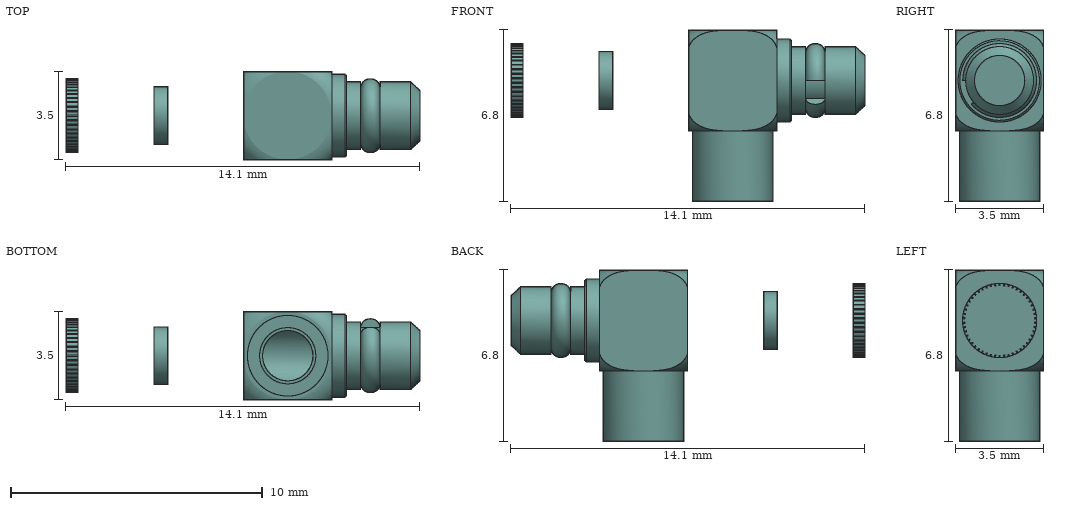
import cadquery as cq
import math


total_length = 14.05
total_height = 6.8
block_width = 3.5
block_height = 4.0
half_width = block_width / 2
half_height = block_height / 2
stem_bottom = half_height - total_height
rim_curve_radius = 0.87
rim_curve_width = 0.73
rim_curve_drop = 0.75

plug_reach = 5.25
collar_diameter = 3.3
collar_length = 0.59
collar_chamfer = 0.07
plug_diameter = 2.7
plug_tip_diameter = 2.0
plug_tip_length = 0.38
plug_tip_drop = (plug_diameter - plug_tip_diameter) / 2

groove_start = 2.9
groove_width = 0.77
groove_diameter = 2.23
ring_diameter = 2.94
ring_round = 0.37
ring_gap_angle = 40.0

cap_seat_diameter = 2.75
cap_seat_depth = 0.55
mouth_chamfer = 0.1
bore_diameter = 2.4
bore_cone_length = 0.18

wire_bore_diameter = 2.0
cable_bore_diameter = 2.23
cable_stop_drop = 0.1
stem_diameter = 3.2

cap_diameter = 2.94
cap_thickness = 0.48
knurl_count = 50
knurl_root_diameter = 2.8
knurl_groove_width = 0.04
disc_diameter = 2.3
disc_thickness = 0.55
disc_start = -5.31


def revolve_about_x(points):
    """Solid of revolution about the X axis from a closed (x, radius) outline."""
    return cq.Workplane("XY").polyline(points).close().revolve(360, (0, 0, 0), (1, 0, 0))


def cylinder_along_x(diameter, start, length):
    return cq.Workplane("YZ").workplane(offset=start).circle(diameter / 2).extrude(length)


def make_block():
    """Box whose corners are cut by an upright drum with rounded rims that start at the box sides."""
    box = cq.Workplane("XY").box(block_width, block_width, block_height)
    drum_radius = half_width + rim_curve_width
    shoulder = half_height - rim_curve_drop
    drum = (
        cq.Workplane("XZ")
        .moveTo(0, half_height)
        .lineTo(half_width, half_height)
        .radiusArc((drum_radius, shoulder), rim_curve_radius)
        .lineTo(drum_radius, -shoulder)
        .radiusArc((half_width, -half_height), rim_curve_radius)
        .lineTo(0, -half_height)
        .close()
        .revolve(360, (0, 0, 0), (0, 1, 0))
    )
    return box.intersect(drum)


def make_plug_end():
    """Collar and spigot with a chamfered tip and a groove for the snap ring."""
    collar_end = half_width + collar_length
    collar_radius = collar_diameter / 2
    plug_radius = plug_diameter / 2
    plug_end = revolve_about_x([
        (0, 0),
        (0, collar_radius),
        (collar_end - collar_chamfer, collar_radius),
        (collar_end, collar_radius - collar_chamfer),
        (collar_end, plug_radius),
        (plug_reach - plug_tip_length, plug_radius),
        (plug_reach, plug_radius - plug_tip_drop),
        (plug_reach, 0),
    ])
    groove = (
        cylinder_along_x(collar_diameter, groove_start, groove_width)
        .cut(cylinder_along_x(groove_diameter, groove_start, groove_width))
    )
    return plug_end.cut(groove)


def make_opening():
    """Chamfer, cap seat and cone from the -X face, then a bore to the far side of the wire bore."""
    face = -half_width
    seat_radius = cap_seat_diameter / 2
    seat_end = face + cap_seat_depth
    bore_radius = bore_diameter / 2
    bore_end = wire_bore_diameter / 2
    return revolve_about_x([
        (face, 0),
        (face, seat_radius + mouth_chamfer),
        (face + mouth_chamfer, seat_radius),
        (seat_end, seat_radius),
        (seat_end + bore_cone_length, bore_radius),
        (bore_end, bore_radius),
        (bore_end, 0),
    ])


def cylinder_along_z(diameter, bottom, top):
    return cq.Workplane("XY").workplane(offset=bottom).circle(diameter / 2).extrude(top - bottom)


def make_cable_entry():
    """Narrow bore from the plug axis down to the cable stop, wider bore from there to the stem end."""
    cable_stop = -half_height - cable_stop_drop
    wire_bore = cylinder_along_z(wire_bore_diameter, cable_stop, 0)
    return wire_bore.union(cylinder_along_z(cable_bore_diameter, stem_bottom, cable_stop))


def make_housing():
    """Block, plug end and cable stem in one piece, with the two crossing bores."""
    return (
        make_block()
        .union(make_plug_end())
        .union(cylinder_along_z(stem_diameter, stem_bottom, 0))
        .cut(make_opening())
        .cut(make_cable_entry())
    )


def make_snap_ring():
    """Split ring with rounded outer edges; the gap opens downward from the -Y side."""
    ring = (
        cylinder_along_x(ring_diameter, groove_start, groove_width)
        .edges().fillet(ring_round)
        .cut(cylinder_along_x(groove_diameter, groove_start, groove_width))
    )
    reach = ring_diameter
    gap_angle = math.radians(ring_gap_angle)
    gap = (
        cq.Workplane("YZ").workplane(offset=groove_start)
        .moveTo(0, 0)
        .lineTo(-reach, 0)
        .lineTo(-reach * math.cos(gap_angle), -reach * math.sin(gap_angle))
        .close()
        .extrude(groove_width)
    )
    return ring.cut(gap)


def make_cap():
    """Round cap with small grooves, cut down to a round core, all around its rim."""
    start = plug_reach - total_length
    core = cylinder_along_x(knurl_root_diameter, start, cap_thickness)
    groove = (
        cq.Workplane("YZ").workplane(offset=start)
        .center(0, cap_diameter / 2)
        .rect(knurl_groove_width, cap_diameter - knurl_root_diameter + knurl_groove_width)
        .extrude(cap_thickness)
        .cut(core)
    )
    cap = cylinder_along_x(cap_diameter, start, cap_thickness)
    for index in range(knurl_count):
        cap = cap.cut(groove.rotate((0, 0, 0), (1, 0, 0), index * 360 / knurl_count))
    return cap


def make_disc():
    return cylinder_along_x(disc_diameter, disc_start, disc_thickness)


housing = make_housing()
snap_ring = make_snap_ring()
cap = make_cap()
disc = make_disc()

result = cq.Compound.makeCompound([
    housing.val(),
    snap_ring.val(),
    cap.val(),
    disc.val(),
])